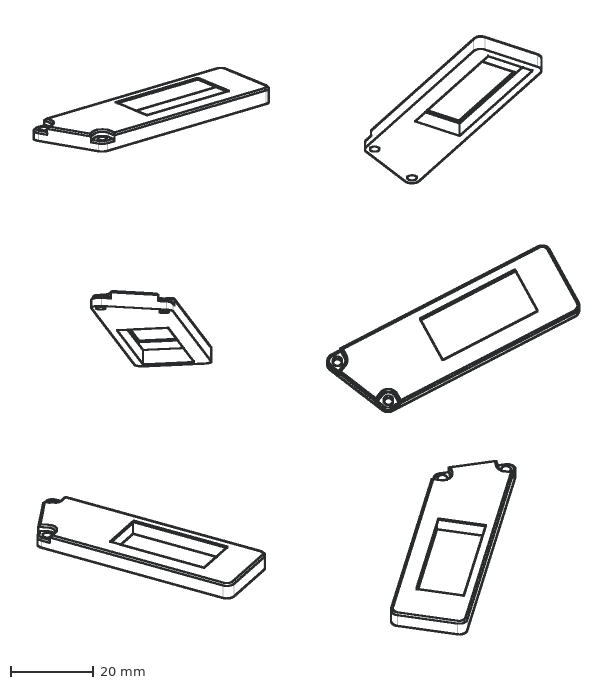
import cadquery as cq
import math

width = 18.95
length = 60.95
thickness = 4.0
corner_radius = 2.0
slant_angle = 23.5
bevel = 0.5

window_width = 11.75
window_length = 26.15
window_left = 2.55
window_top_margin = 9.8

lip_thickness = 0.4
lip_width = 0.4
pocket_end_wall = 2.15

pad_height = 2.5
pad_recess_radius = 1.95
screw_hole_diameter = 2.3
screw_inset = 2.25
left_screw = (screw_inset, 2.45)
right_screw = (width - screw_inset, 8.8)

slant = math.radians(slant_angle)
along_slant = (math.cos(slant), math.sin(slant))
into_plate = (-math.sin(slant), math.cos(slant))

slant_start_y = corner_radius * (1 - 1 / math.cos(slant) - math.tan(slant))
slant_end_y = slant_start_y + width * math.tan(slant)


def plate_blank(height):
    corners = [(0, slant_start_y), (width, slant_end_y), (width, length), (0, length)]
    return cq.Workplane("XY").polyline(corners).close().extrude(height).edges("|Z").fillet(corner_radius)


def offset_point(point, direction, distance):
    return (point[0] + direction[0] * distance, point[1] + direction[1] * distance)


def pad_recess(screw, side):
    """Cutter around a screw; side is -1 for the left edge of the plate and +1 for the right."""
    reach = 4 * pad_recess_radius
    slant_direction = (-side * along_slant[0], -side * along_slant[1])
    upper_tangent = offset_point(screw, (0, 1), pad_recess_radius)
    slant_tangent = offset_point(screw, slant_direction, pad_recess_radius)
    middle_angle = math.pi / 2 + side * (math.pi / 2 + side * slant) / 2
    arc_middle = offset_point(screw, (math.cos(middle_angle), math.sin(middle_angle)), pad_recess_radius)
    slant_exit = offset_point(slant_tangent, into_plate, -reach)
    return (
        cq.Workplane("XY", origin=(0, 0, pad_height))
        .moveTo(*upper_tangent)
        .threePointArc(arc_middle, slant_tangent)
        .lineTo(*slant_exit)
        .lineTo(screw[0] + side * reach, slant_exit[1])
        .lineTo(screw[0] + side * reach, upper_tangent[1])
        .close()
        .extrude(thickness)
    )


recesses = pad_recess(left_screw, -1).union(pad_recess(right_screw, 1))

upper_body = plate_blank(thickness).cut(recesses).faces(">Z").edges().chamfer(bevel)

bevelled_base = plate_blank(pad_height).faces(">Z").edges().chamfer(bevel)
pad_bevel_waste = plate_blank(pad_height).cut(bevelled_base)
recess_columns = recesses.translate((0, 0, -pad_height))
plate = upper_body.cut(pad_bevel_waste.intersect(recess_columns))

window = cq.Workplane("XY").box(window_width, window_length, thickness, centered=False)
window = window.translate((window_left, length - window_top_margin - window_length, 0))

pocket_width = window_width + 2 * lip_width
pocket_length = window_length + window_top_margin + lip_width - pocket_end_wall
pocket = cq.Workplane("XY").box(pocket_width, pocket_length, thickness - lip_thickness, centered=False)
pocket = pocket.translate((window_left - lip_width, length - pocket_end_wall - pocket_length, 0))

screw_holes = (
    cq.Workplane("XY")
    .pushPoints([left_screw, right_screw])
    .circle(screw_hole_diameter / 2)
    .extrude(thickness)
)

result = plate.cut(pocket).cut(window).cut(screw_holes)